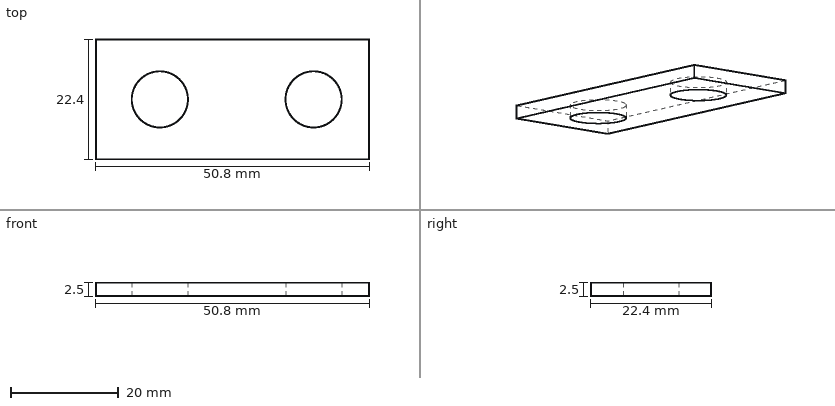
import cadquery as cq

length = 50.8
width = 22.35
thickness = 2.5

hole_diameter = 10.4
hole_spacing = 28.6
left_edge_to_first_hole = 11.9

first_hole_x = -length / 2 + left_edge_to_first_hole
hole_centers = [(first_hole_x, 0), (first_hole_x + hole_spacing, 0)]

plate = cq.Workplane("XY").box(length, width, thickness)

result = (
    plate.faces(">Z")
    .workplane(origin=(0, 0, thickness / 2))
    .pushPoints(hole_centers)
    .hole(hole_diameter)
)